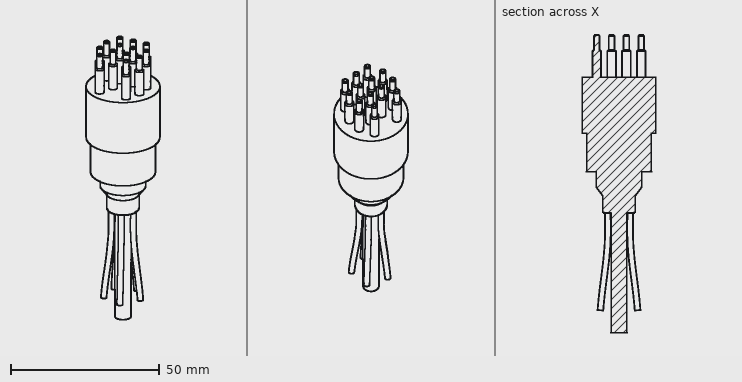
import cadquery as cq

FLANGE_DIAMETER = 25.0
FLANGE_LENGTH = 19.0
BARREL_DIAMETER = 22.0
BARREL_LENGTH = 13.0
NECK_DIAMETER = 15.5
NECK_LENGTH = 5.2
COLLAR_DIAMETER = 11.0
CONE_LENGTH = 3.0
COLLAR_LENGTH = 5.7
COLLAR_CHAMFER = 0.3

FLANGE_BOTTOM = -FLANGE_LENGTH
BARREL_BOTTOM = FLANGE_BOTTOM - BARREL_LENGTH
NECK_BOTTOM = BARREL_BOTTOM - NECK_LENGTH
CONE_BOTTOM = NECK_BOTTOM - CONE_LENGTH
COLLAR_BOTTOM = CONE_BOTTOM - COLLAR_LENGTH

PIN_DIAMETER = 3.0
PIN_TIP_DIAMETER = 2.0
PIN_LENGTH = 14.2
PIN_SHOULDER_HEIGHT = 9.2
PIN_SHOULDER_CHAMFER = (PIN_DIAMETER - PIN_TIP_DIAMETER) / 2
PIN_TIP_CHAMFER = 0.4
PIN_PITCH = 5.0
PIN_ROWS = (
    (1.5, (-1.0, 0.0, 1.0)),
    (0.5, (-1.5, -0.5, 0.5, 1.5)),
    (-0.5, (-1.5, -0.5, 0.5, 1.5)),
    (-1.5, (-1.0, 1.0)),
)

OVERALL_LENGTH = 100.5
CABLE_DIAMETER = 5.5
CABLE_BOTTOM = PIN_LENGTH - OVERALL_LENGTH

WIRE_COUNT = 5
WIRE_DIAMETER = 2.0
WIRE_START_RADIUS = 4.0
WIRE_END_RADIUS = 6.6
WIRE_LENGTH = 32.8
WIRE_BEND_DEPTH = 9.0
WIRE_END_SLOPE = 0.08

OVERLAP = 1.0


def make_body():
    """Flange, barrel, neck, cone and collar as one revolved profile."""
    collar_radius = COLLAR_DIAMETER / 2
    profile = [
        (0, 0),
        (FLANGE_DIAMETER / 2, 0),
        (FLANGE_DIAMETER / 2, FLANGE_BOTTOM),
        (BARREL_DIAMETER / 2, FLANGE_BOTTOM),
        (BARREL_DIAMETER / 2, BARREL_BOTTOM),
        (NECK_DIAMETER / 2, BARREL_BOTTOM),
        (NECK_DIAMETER / 2, NECK_BOTTOM),
        (collar_radius, CONE_BOTTOM),
        (collar_radius, COLLAR_BOTTOM + COLLAR_CHAMFER),
        (collar_radius - COLLAR_CHAMFER, COLLAR_BOTTOM),
        (0, COLLAR_BOTTOM),
    ]
    return cq.Workplane("XZ").polyline(profile).close().revolve(360, (0, 0), (0, 1))


def make_pin():
    """Stepped pin on the Z axis with a tapered shoulder and a chamfered tip."""
    radius = PIN_DIAMETER / 2
    tip_radius = PIN_TIP_DIAMETER / 2
    profile = [
        (0, -OVERLAP),
        (radius, -OVERLAP),
        (radius, PIN_SHOULDER_HEIGHT - PIN_SHOULDER_CHAMFER),
        (tip_radius, PIN_SHOULDER_HEIGHT),
        (tip_radius, PIN_LENGTH - PIN_TIP_CHAMFER),
        (tip_radius - PIN_TIP_CHAMFER, PIN_LENGTH),
        (0, PIN_LENGTH),
    ]
    return cq.Workplane("XZ").polyline(profile).close().revolve(360, (0, 0), (0, 1))


def make_cable():
    """Straight central cable below the collar."""
    top = COLLAR_BOTTOM + OVERLAP
    section = cq.Workplane("XY").workplane(offset=top).circle(CABLE_DIAMETER / 2)
    return section.extrude(CABLE_BOTTOM - top)


def make_wire():
    """Wire in the XZ plane: leaves the collar straight down, then splays outward in an S bend."""
    top = COLLAR_BOTTOM + OVERLAP
    bend_start = (WIRE_START_RADIUS, COLLAR_BOTTOM - WIRE_BEND_DEPTH)
    end = (WIRE_END_RADIUS, COLLAR_BOTTOM - WIRE_LENGTH)
    path = (
        cq.Workplane("XZ")
        .moveTo(WIRE_START_RADIUS, top)
        .spline([bend_start, end], tangents=[(0, -1), (WIRE_END_SLOPE, -1)], includeCurrent=True)
    )
    section = cq.Workplane("XY", origin=(WIRE_START_RADIUS, 0, top)).circle(WIRE_DIAMETER / 2)
    return section.sweep(path)


result = make_body().union(make_cable())

pin = make_pin()
for row_y, row_places in PIN_ROWS:
    for place_x in row_places:
        result = result.union(pin.translate((place_x * PIN_PITCH, row_y * PIN_PITCH, 0)))

wire = make_wire()
for index in range(WIRE_COUNT):
    angle = index * 360 / WIRE_COUNT
    result = result.union(wire.rotate((0, 0, 0), (0, 0, 1), angle))